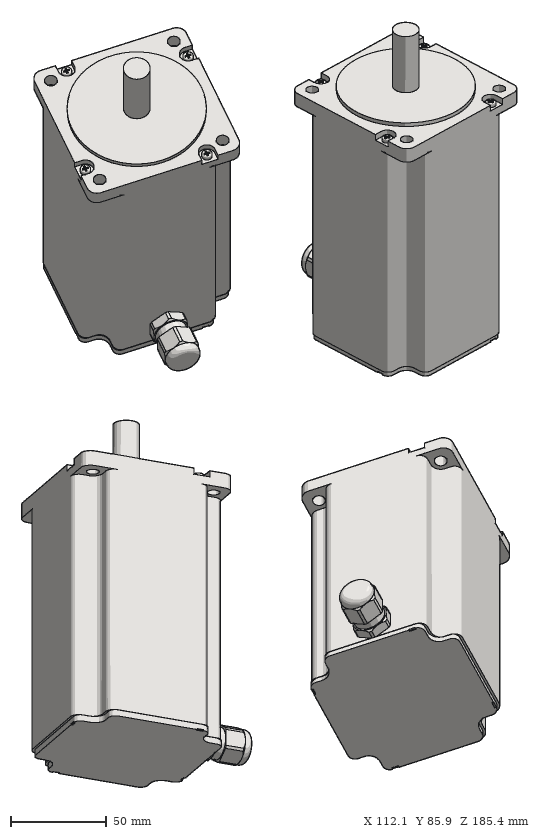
import cadquery as cq
import math

TOTAL_HEIGHT = 185.4
PILOT_TOP = 150.5
FLANGE_TOP = 148.3
FLANGE_BOTTOM = 140.0
COVER_THICKNESS = 3.5

SIDE = 85.7
HALF_SIDE = SIDE / 2
FLANGE_CORNER_RADIUS = 5.5
PILOT_DIAMETER = 73.0
SHAFT_DIAMETER = 14.0
BOLT_OFFSET = 34.7
BOLT_HOLE_DIAMETER = 6.7

RECESS_RADIUS = 5.7
SHOULDER_RADIUS = 4.6

COVER_INSET = 0.5
COVER_SHIFT = 0.7

NOTCH_FROM_CENTER = 22.6
NOTCH_WIDTH = 3.5
NOTCH_HEIGHT = 0.5
NOTCH_DEPTH = 1.0

SCREW_ALONG_SIDE = 24.3
SCREW_FROM_CENTER = 38.5
POCKET_WIDTH = 9.0
POCKET_DEPTH = 3.5
HEAD_DIAMETER = 5.5
HEAD_HEIGHT = 2.2
HEAD_ROUNDING = 0.7
CROSS_LENGTH = 3.2
CROSS_WIDTH = 0.7
CROSS_DEPTH = 1.1

GLAND_Z = 13.7
GLAND_END = 69.2
NUT_ACROSS_FLATS = 19.0
NUT_CORNER_DIAMETER = 21.0
LOCKNUT_LENGTH = 5.5
NECK_DIAMETER = 17.2
NECK_LENGTH = 4.8
CAP_NUT_LENGTH = 11.1
DOME_DIAMETER = 19.0
DOME_ROUNDING = 3.3
NUT_CHAMFER = (NUT_CORNER_DIAMETER - DOME_DIAMETER) / 2


def housing_outline(inset=0.0):
    """Closed square outline with a rounded recess at every corner, drawn in by the inset."""
    half = HALF_SIDE - inset
    recess = RECESS_RADIUS + inset
    shoulder = SHOULDER_RADIUS - inset
    wall = BOLT_OFFSET - recess
    face_end = wall - shoulder
    shoulder_end = half - shoulder
    shoulder_mid = shoulder * math.sqrt(0.5)
    recess_mid = BOLT_OFFSET - recess * math.sqrt(0.5)

    def turned(x, y, quarter):
        """Point turned by a number of quarter turns about the motor axis."""
        for _ in range(quarter):
            x, y = -y, x
        return x, y

    outline = cq.Workplane("XY").moveTo(half, -face_end)
    for quarter in range(4):
        outline = (
            outline
            .lineTo(*turned(half, face_end, quarter))
            .threePointArc(
                turned(shoulder_end + shoulder_mid, face_end + shoulder_mid, quarter),
                turned(shoulder_end, wall, quarter),
            )
            .lineTo(*turned(BOLT_OFFSET, wall, quarter))
            .threePointArc(
                turned(recess_mid, recess_mid, quarter),
                turned(wall, BOLT_OFFSET, quarter),
            )
            .lineTo(*turned(wall, shoulder_end, quarter))
            .threePointArc(
                turned(face_end + shoulder_mid, shoulder_end + shoulder_mid, quarter),
                turned(face_end, half, quarter),
            )
        )
    return outline.close()


def cylinder(diameter, bottom, top):
    """Upright cylinder on the motor axis."""
    return cq.Workplane("XY").workplane(offset=bottom).circle(diameter / 2).extrude(top - bottom)


def make_flange():
    """Square plate with rounded corners and four bolt holes."""
    flange = (
        cq.Workplane("XY").workplane(offset=FLANGE_BOTTOM)
        .rect(SIDE, SIDE).extrude(FLANGE_TOP - FLANGE_BOTTOM)
        .edges("|Z").fillet(FLANGE_CORNER_RADIUS)
    )
    return (
        flange.faces(">Z").workplane()
        .rect(2 * BOLT_OFFSET, 2 * BOLT_OFFSET, forConstruction=True)
        .vertices().hole(BOLT_HOLE_DIAMETER)
    )


def screw_pocket():
    """Pocket for the screw at the -Y side, running out through that side."""
    floor = cq.Workplane("XY").workplane(offset=FLANGE_TOP - POCKET_DEPTH)
    round_end = (
        floor.center(SCREW_ALONG_SIDE, -SCREW_FROM_CENTER)
        .circle(POCKET_WIDTH / 2).extrude(POCKET_DEPTH)
    )
    open_end = (
        floor.center(SCREW_ALONG_SIDE, -SCREW_FROM_CENTER - POCKET_WIDTH / 2)
        .rect(POCKET_WIDTH, POCKET_WIDTH).extrude(POCKET_DEPTH)
    )
    return round_end.union(open_end)


def screw_head():
    """Rounded screw head with a cross recess, standing on the pocket floor."""
    floor = FLANGE_TOP - POCKET_DEPTH
    head = cylinder(HEAD_DIAMETER, floor, floor + HEAD_HEIGHT).faces(">Z").edges().fillet(HEAD_ROUNDING)
    recess_plane = cq.Workplane("XY").workplane(offset=floor + HEAD_HEIGHT - CROSS_DEPTH)
    for length, width in ((CROSS_LENGTH, CROSS_WIDTH), (CROSS_WIDTH, CROSS_LENGTH)):
        head = head.cut(recess_plane.rect(length, width).extrude(CROSS_DEPTH))
    return head.translate((SCREW_ALONG_SIDE, -SCREW_FROM_CENTER, 0))


def hex_nut(start, length):
    """Hexagon along X with corners at top and bottom, turned down and chamfered at its +X end."""
    plane = cq.Workplane("YZ", origin=(start, 0, GLAND_Z))
    hexagon = (
        plane.polygon(6, NUT_ACROSS_FLATS / math.cos(math.pi / 6)).extrude(length)
        .rotate((0, 0, GLAND_Z), (1, 0, GLAND_Z), 30)
    )
    round_bar = plane.circle(NUT_CORNER_DIAMETER / 2).extrude(length).faces(">X").chamfer(NUT_CHAMFER)
    return hexagon.intersect(round_bar)


def make_gland():
    """Locknut, round neck, cap nut and domed end, in a row along X."""
    neck_start = HALF_SIDE + LOCKNUT_LENGTH
    cap_start = neck_start + NECK_LENGTH
    dome_start = cap_start + CAP_NUT_LENGTH
    neck = (
        cq.Workplane("YZ", origin=(neck_start, 0, GLAND_Z))
        .circle(NECK_DIAMETER / 2).extrude(NECK_LENGTH)
    )
    dome = (
        cq.Workplane("YZ", origin=(dome_start, 0, GLAND_Z))
        .circle(DOME_DIAMETER / 2).extrude(GLAND_END - dome_start)
        .faces(">X").edges().fillet(DOME_ROUNDING)
    )
    return (
        hex_nut(HALF_SIDE, LOCKNUT_LENGTH)
        .union(neck)
        .union(hex_nut(cap_start, CAP_NUT_LENGTH))
        .union(dome)
    )


def make_cover():
    """Thin plate closing the bottom of the housing, notched at its lower edge."""
    cover = housing_outline(COVER_INSET).extrude(COVER_THICKNESS)
    notch = cq.Workplane("XY").box(NOTCH_WIDTH, 2 * NOTCH_DEPTH, 2 * NOTCH_HEIGHT)
    notch = notch.translate((NOTCH_FROM_CENTER, COVER_INSET - HALF_SIDE, 0))
    for quarter_turn in range(0, 360, 90):
        cover = cover.cut(notch.rotate((0, 0, 0), (0, 0, 1), quarter_turn))
    return cover.translate((COVER_SHIFT, -COVER_SHIFT, 0))


housing = (
    housing_outline().extrude(FLANGE_BOTTOM - COVER_THICKNESS)
    .translate((0, 0, COVER_THICKNESS))
)

result = make_cover().union(housing).union(make_flange())
result = result.union(cylinder(PILOT_DIAMETER, FLANGE_TOP, PILOT_TOP))
result = result.union(cylinder(SHAFT_DIAMETER, PILOT_TOP, TOTAL_HEIGHT))

for quarter_turn in range(0, 360, 90):
    result = result.cut(screw_pocket().rotate((0, 0, 0), (0, 0, 1), quarter_turn))
    result = result.union(screw_head().rotate((0, 0, 0), (0, 0, 1), quarter_turn))

result = result.union(make_gland())